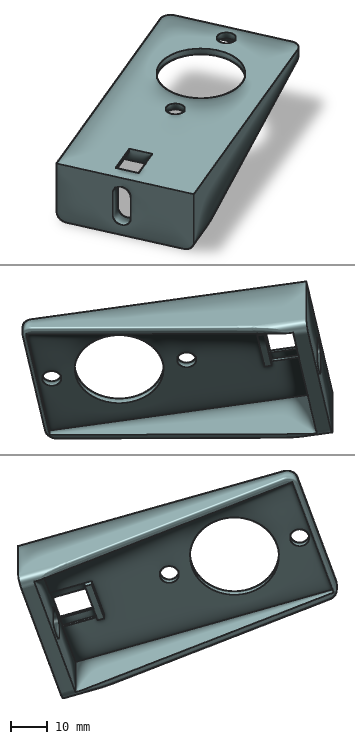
import cadquery as cq

width = 40.0
length = 78.5
front_height = 18.6
back_height = 3.5
flat_length = 4.7
corner_radius = 3.0
rim_radius = 1.0

plate_thickness = 2.0
side_wall = 2.0
front_wall = 4.0
back_wall = 1.2

large_diameter = 24.0
small_diameter = 5.2
large_hole_y = 55.0
small_hole_offset = 18.5

offset_x = -1.0
window_width = 6.7
window_length = 10.0
slot_width = 5.2
slot_height = 12.3
slot_centre_z = -9.1

crossbar_depth = 3.8
crossbar_thickness = 2.0

recess_width = 11.15
thin_plate = 0.95


def make_wedge():
    """Solid wedge with a flat front foot, a sloping underside and rounded edges."""
    wedge = (
        cq.Workplane("YZ")
        .polyline([
            (0, 0),
            (length, 0),
            (length, -back_height),
            (flat_length, -front_height),
            (0, -front_height),
        ])
        .close()
        .extrude(width / 2, both=True)
    )
    wedge = wedge.faces(">Y").edges("|Z").fillet(corner_radius)
    rounded_bar = (
        cq.Workplane("XZ")
        .rect(width, 2 * front_height)
        .extrude(-length)
        .edges("|Y")
        .fillet(corner_radius)
    )
    wedge = wedge.intersect(rounded_bar)

    sloping_face = wedge.faces(cq.selectors.NearestToPointSelector(
        (0, (length + flat_length) / 2, -(front_height + back_height) / 2)
    ))
    rim = sloping_face.edges(cq.selectors.BoxSelector(
        (-width, 2 * flat_length, -front_height), (width, 2 * length, 0)
    ))
    return rim.fillet(rim_radius)


def make_cavity():
    """Space under the plate, inside the front, back and side walls."""
    cavity_length = length - front_wall - back_wall
    return (
        cq.Workplane("XY", origin=(0, front_wall + cavity_length / 2, -plate_thickness))
        .rect(width - 2 * side_wall, cavity_length)
        .extrude(-front_height)
    )


def make_crossbar():
    """Short bar hanging from the plate behind the window."""
    centre_y = front_wall + window_length + crossbar_thickness / 2
    return (
        cq.Workplane("XY", origin=(offset_x, centre_y, 0))
        .rect(recess_width, crossbar_thickness)
        .extrude(-crossbar_depth)
    )


def make_window_recess():
    """Pocket in the plate's underside, ending flush with the crossbar."""
    return (
        cq.Workplane("XY", origin=(offset_x, front_wall + window_length / 2, -thin_plate))
        .rect(recess_width, window_length)
        .extrude(thin_plate - plate_thickness)
    )


def make_plate_openings():
    """Large hole, the small hole on either side of it, and the window."""
    small_holes = [(0, large_hole_y + side * small_hole_offset) for side in (-1, 1)]
    large_hole = (
        cq.Workplane("XY")
        .center(0, large_hole_y)
        .circle(large_diameter / 2)
        .extrude(-front_height)
    )
    mounting_holes = (
        cq.Workplane("XY")
        .pushPoints(small_holes)
        .circle(small_diameter / 2)
        .extrude(-front_height)
    )
    window = (
        cq.Workplane("XY", origin=(offset_x, front_wall + window_length / 2, 0))
        .rect(window_width, window_length)
        .extrude(-plate_thickness)
    )
    return large_hole.union(mounting_holes).union(window)


def make_front_slot():
    return (
        cq.Workplane("XZ", origin=(offset_x, 0, slot_centre_z))
        .slot2D(slot_height, slot_width, 90)
        .extrude(-front_wall)
    )


shell = make_wedge().cut(make_cavity()).union(make_crossbar())
result = shell.cut(make_window_recess()).cut(make_plate_openings()).cut(make_front_slot())